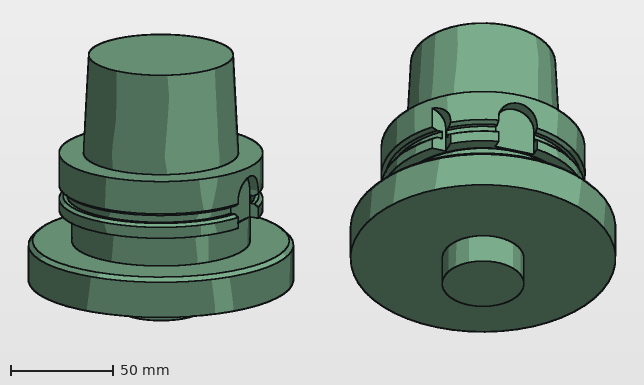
import cadquery as cq

OVERALL_HEIGHT = 130.0
PLATE_BOTTOM = 15.0
PLATE_TOP = 35.0
JOINT_HEIGHT = 50.6
FLANGE_BOTTOM = 51.0
FLANGE_TOP = 80.0
GROOVE_BOTTOM = 58.0
GROOVE_TOP = 62.0

SHANK_DIAMETER = 40.0
PLATE_DIAMETER = 130.0
PLATE_CHAMFER = 2.1
NECK_DIAMETER = 87.5

FLANGE_DIAMETER = 100.0
GROOVE_DIAMETER = 92.0
GROOVE_BEVEL_HEIGHT = 1.4
GROOVE_BEVEL_DEPTH = 2.0
TAPER_BOTTOM_DIAMETER = 76.0
TAPER_TOP_DIAMETER = 71.0

SLOT_WIDTH = 20.0
SLOT_TOP = FLANGE_TOP - 5.0
DRIVE_SLOT_FLOOR = 44.2
NOTCH_FLOOR = 31.8
NOTCH_CENTER_Y = 41.5


def make_base():
    shank = cq.Workplane("XY").circle(SHANK_DIAMETER / 2).extrude(PLATE_BOTTOM)
    plate = (
        cq.Workplane("XY", origin=(0, 0, PLATE_BOTTOM))
        .circle(PLATE_DIAMETER / 2)
        .extrude(PLATE_TOP - PLATE_BOTTOM)
        .faces(">Z")
        .chamfer(PLATE_CHAMFER)
    )
    neck = (
        cq.Workplane("XY", origin=(0, 0, PLATE_TOP))
        .circle(NECK_DIAMETER / 2)
        .extrude(JOINT_HEIGHT - PLATE_TOP)
    )
    return plate.union(shank).union(neck)


def make_turned_holder():
    """Revolve the half profile of the short stub, the grooved flange and the nose."""
    rim = FLANGE_DIAMETER / 2
    groove = GROOVE_DIAMETER / 2
    bevel_inner = rim - GROOVE_BEVEL_DEPTH
    profile = [
        (0, JOINT_HEIGHT),
        (NECK_DIAMETER / 2, JOINT_HEIGHT),
        (NECK_DIAMETER / 2, FLANGE_BOTTOM),
        (rim, FLANGE_BOTTOM),
        (rim, GROOVE_BOTTOM - GROOVE_BEVEL_HEIGHT),
        (bevel_inner, GROOVE_BOTTOM),
        (groove, GROOVE_BOTTOM),
        (groove, GROOVE_TOP),
        (bevel_inner, GROOVE_TOP),
        (rim, GROOVE_TOP + GROOVE_BEVEL_HEIGHT),
        (rim, FLANGE_TOP),
        (TAPER_BOTTOM_DIAMETER / 2, FLANGE_TOP),
        (TAPER_TOP_DIAMETER / 2, OVERALL_HEIGHT),
        (0, OVERALL_HEIGHT),
    ]
    return cq.Workplane("XZ").polyline(profile).close().revolve(360, (0, 0, 0), (0, 1, 0))


def slot_cutter(floor, center_y):
    """Slot on the -X side, open outward and downward, with a flat floor at x = -floor."""
    radius = SLOT_WIDTH / 2
    arc_center = SLOT_TOP - radius
    return (
        cq.Workplane("YZ", origin=(-floor, 0, 0))
        .moveTo(center_y - radius, FLANGE_BOTTOM)
        .lineTo(center_y - radius, arc_center)
        .threePointArc((center_y, SLOT_TOP), (center_y + radius, arc_center))
        .lineTo(center_y + radius, FLANGE_BOTTOM)
        .close()
        .extrude(floor - FLANGE_DIAMETER / 2)
    )


def make_holder():
    body = make_turned_holder()
    drive_slot = slot_cutter(DRIVE_SLOT_FLOOR, 0)
    for angle in (0, 180):
        body = body.cut(drive_slot.rotate((0, 0, 0), (0, 0, 1), angle))
    return body.cut(slot_cutter(NOTCH_FLOOR, NOTCH_CENTER_Y))


base = make_base()
holder = make_holder()
result = cq.Compound.makeCompound([base.val(), holder.val()])